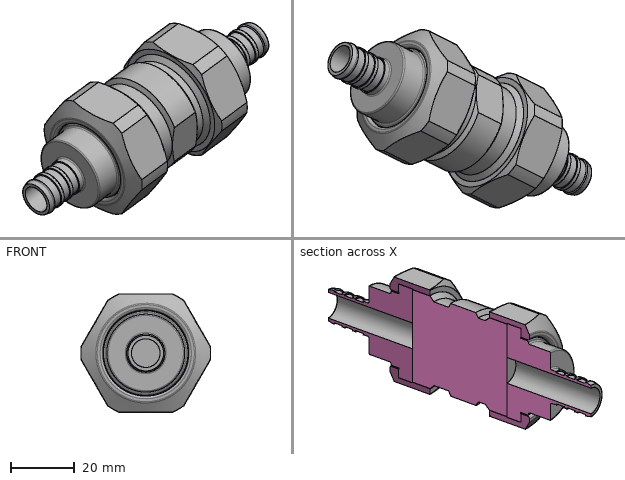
import cadquery as cq
import math


body_radius = 29.8 / 2
thread_radius = 33.0 / 2
body_half_length = 18.8
ridge_radius = 33.0 / 2
ridge_front = -4.5
ridge_back = 7.4
ridge_flat_spacing = 30.0

hex_across_flats = 37.1
hex_corner_radius = 40.7 / 2
nut_front = 27.8
nut_back = 11.8
nut_front_radius = 30.9 / 2
nut_back_radius = 36.7 / 2
bevel_slope = math.tan(math.radians(30))
nut_mouth_radius = 26.9 / 2
nut_mouth_fillet = 0.8
nut_rim_fillet = 0.8
nut_lip_depth = 3.6

shoulder_radius = 26.5 / 2
shoulder_end = 27.3
shoulder_fillet = 0.4
shank_radius = 24.4 / 2
shank_end = 36.1
shank_edge_fillet = 0.4
flange_radius = thread_radius
flange_end = nut_front - nut_lip_depth
stem_radius = 11.2 / 2
barb_radius = 12.0 / 2
stem_bore_radius = 9.0 / 2
tail_end = 52.1
root_fillet = 0.4
root_collar_end = 38.4
barb_starts = (41.4, 45.6)
barb_width = 1.3
tip_barb_start = 49.6
tip_barb_rise = 0.3
tip_barb_land = 0.6

cut_margin = 1.0


def revolve_about_y(profile):
    """Revolve a closed (radius, y) profile a full turn about the Y axis."""
    return profile.close().revolve(360, (0, 0, 0), (0, 1, 0))


def cylinder(radius, start, end):
    """Cylinder on the Y axis from y = start to y = end."""
    return cq.Workplane("XZ").workplane(offset=-start).circle(radius).extrude(start - end)


def bevel_rise(outer_radius, inner_radius):
    """Length along Y of a wrench bevel between two radii."""
    return (outer_radius - inner_radius) * bevel_slope


def make_body():
    """Threaded barrel with 45-degree runouts and a bevelled ridge that has wrench flats facing +X and -X."""
    bevel = bevel_rise(ridge_radius, body_radius)
    ridge = revolve_about_y(
        cq.Workplane("XY")
        .moveTo(0, ridge_front)
        .lineTo(body_radius, ridge_front)
        .lineTo(ridge_radius, ridge_front + bevel)
        .lineTo(ridge_radius, ridge_back - bevel)
        .lineTo(body_radius, ridge_back)
        .lineTo(0, ridge_back)
    )
    flats = cq.Workplane("XY").box(ridge_flat_spacing, 2 * body_half_length, 4 * ridge_radius)
    runout_start = nut_back - (thread_radius - body_radius)
    barrel = revolve_about_y(
        cq.Workplane("XY")
        .moveTo(0, -body_half_length)
        .lineTo(thread_radius, -body_half_length)
        .lineTo(thread_radius, -nut_back)
        .lineTo(body_radius, -runout_start)
        .lineTo(body_radius, runout_start)
        .lineTo(thread_radius, nut_back)
        .lineTo(thread_radius, body_half_length)
        .lineTo(0, body_half_length)
    )
    return barrel.union(ridge.intersect(flats))


def make_nut():
    """Hexagonal union nut on the +Y end, bored for the thread and open to the hose tail."""
    envelope = revolve_about_y(
        cq.Workplane("XY")
        .moveTo(0, nut_back)
        .lineTo(nut_back_radius, nut_back)
        .lineTo(hex_corner_radius, nut_back + bevel_rise(hex_corner_radius, nut_back_radius))
        .lineTo(hex_corner_radius, nut_front - bevel_rise(hex_corner_radius, nut_front_radius))
        .lineTo(nut_front_radius, nut_front)
        .lineTo(0, nut_front)
    )
    envelope = envelope.faces(">Y").edges().fillet(nut_rim_fillet)
    hexagon = (
        cq.Workplane("XZ")
        .workplane(offset=-nut_back)
        .polygon(6, hex_across_flats, circumscribed=True)
        .extrude(nut_back - nut_front)
        .rotate((0, 0, 0), (0, 1, 0), 90)
    )
    nut = (
        hexagon.intersect(envelope)
        .cut(cylinder(thread_radius, nut_back - cut_margin, flange_end))
        .cut(cylinder(nut_mouth_radius, flange_end, nut_front + cut_margin))
    )
    mouth_edge = cq.selectors.RadiusNthSelector(0)
    return nut.faces(">Y").edges(mouth_edge).fillet(nut_mouth_fillet)


def make_tail():
    """Barbed hose tail on the +Y end, bored through and held in the nut by its flange."""
    profile = (
        cq.Workplane("XY")
        .moveTo(stem_bore_radius, body_half_length)
        .lineTo(flange_radius, body_half_length)
        .lineTo(flange_radius, flange_end)
        .lineTo(shoulder_radius, flange_end)
        .lineTo(shoulder_radius, shoulder_end - shoulder_fillet)
        .radiusArc((shoulder_radius - shoulder_fillet, shoulder_end), -shoulder_fillet)
        .lineTo(shank_radius + shoulder_fillet, shoulder_end)
        .radiusArc((shank_radius, shoulder_end + shoulder_fillet), shoulder_fillet)
        .lineTo(shank_radius, shank_end - shank_edge_fillet)
        .radiusArc((shank_radius - shank_edge_fillet, shank_end), -shank_edge_fillet)
        .lineTo(barb_radius + root_fillet, shank_end)
        .radiusArc((barb_radius, shank_end + root_fillet), root_fillet)
        .lineTo(barb_radius, root_collar_end)
        .lineTo(stem_radius, root_collar_end)
    )
    for start in barb_starts:
        profile = (
            profile.lineTo(stem_radius, start)
            .lineTo(barb_radius, start)
            .lineTo(barb_radius, start + barb_width)
            .lineTo(stem_radius, start + barb_width)
        )
    land_start = tip_barb_start + tip_barb_rise
    profile = (
        profile.lineTo(stem_radius, tip_barb_start)
        .lineTo(barb_radius, land_start)
        .lineTo(barb_radius, land_start + tip_barb_land)
        .lineTo(stem_radius, tail_end)
        .lineTo(stem_bore_radius, tail_end)
    )
    return revolve_about_y(profile)


def at_both_ends(part):
    """The part as built on the +Y end and its copy turned round to the -Y end."""
    return [part.rotate((0, 0, 0), (0, 0, 1), angle).val() for angle in (0, 180)]


body = make_body()
nuts = at_both_ends(make_nut())
tails = at_both_ends(make_tail())

result = cq.Compound.makeCompound([body.val(), *nuts, *tails])